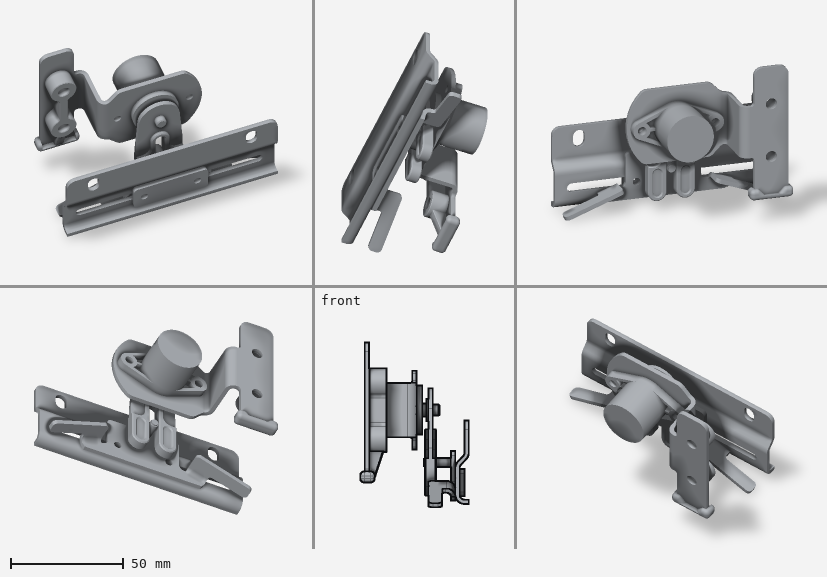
import cadquery as cq
import math


SHEET = 2.0
INNER_BEND = 2.0
OUTER_BEND = INNER_BEND + SHEET
POINT_TOLERANCE = 0.0001
CORNER_RADIUS = 4.0

STRAP_FRONT = 2.0
STRAP_BACK = STRAP_FRONT + SHEET
STRAP_Y = -37.5
STRAP_WIDTH = 16.0
STRAP_HALF_HEIGHT = 30.0
STRAP_HOLE_DIAMETER = 5.2
STRAP_HOLE_Z = 12.5
STRAP_NECK_RADIUS = 1.5
PLATE_FRONT = 23.0
PLATE_BACK = PLATE_FRONT + SHEET
PLATE_RADIUS = 23.0
PLATE_HALF_HEIGHT = 17.5
PLATE_CORNER_RADIUS = 4.0
PLATE_SLOPE_Y = -16.3
JOG_Y = -23.5
JOG_HALF_HEIGHT = 12.1

BUMPER_DIAMETER = 12.2
BUMPER_BACK = 11.9
RUBBER_CHAMFER = 0.3
WEB_HALF_WIDTH = 2.0
WEB_FILLET = 2.0
CAP_DEPTH = 6.5
CAP_WIDTH = 20.1
CAP_TOP_Z = -27.1
CAP_HEIGHT = 5.0
CAP_FILLET = 1.9
CAP_NOTCH_HALF_WIDTH = 3.2
GUSSET_TOP_X = 10.8
GUSSET_TOP_Z = -17.0

MOTOR_DIAMETER = 21.8
MOTOR_FRONT = 2.9
MOTOR_BACK = 27.6
FLANGE_FRONT = 19.1
EAR_Y = 17.1
EAR_RADIUS = 4.1
EAR_BOSS_RADIUS = 3.9
EAR_HOLE_DIAMETER = 4.0
PLATE_HOLE_DIAMETER = 3.5
FLANGE_RIM = 1.6
FLANGE_POCKET_DEPTH = 2.9
FLANGE_RIB = 1.2

SHAFT_DIAMETER = 6.0
SHAFT_END_DIAMETER = 5.0
SHAFT_END_X = 35.2
SHAFT_END_CHAMFER = 0.5
WASHER_DIAMETER = 10.0
WASHER_FRONT = 29.3
LEVER_FRONT = 30.2
LEVER_MIDDLE = LEVER_FRONT + SHEET / 2
LEVER_RADIUS = 9.7
LEVER_SHOULDER_Z = -16.6

FORK_THICKNESS = 5.1
FORK_HALF_WIDTH = 11.0
FORK_GAP = 4.5
FORK_BOTTOM_Z = -38.0
FORK_SHOULDER_Z = -21.3
FORK_SHOULDER_RADIUS = 4.0
FORK_NECK_HALF_WIDTH = 4.5
FORK_TOP_Z = -8.4
FORK_GAP_TOP_Z = FORK_TOP_Z - FORK_NECK_HALF_WIDTH + FORK_GAP / 2
FORK_CHAMFER = 0.5
WINDOW_WIDTH = 5.0
WINDOW_TOP_Z = -22.5
WINDOW_BOTTOM_Z = -36.4
WINDOW_DEPTH = 0.6
WINDOW_SIDE_ANGLE = 45.0

RAIL_LENGTH = 100.0
RAIL_FACE = 42.2
RAIL_BACK = 48.2
RAIL_TOP_Z = -4.5
RAIL_BOTTOM_Z = -41.6
RAIL_JOG_TOP_Z = -19.7
RAIL_JOG_BOTTOM_Z = -23.9
RAIL_SLOT_LENGTH = 88.8
RAIL_SLOT_WIDTH = 4.2
RAIL_SLOT_Z = -32.1
OBLONG_Y = 37.5
OBLONG_Z = -10.7
OBLONG_HEIGHT = 8.0
OBLONG_WIDTH = 5.4

SLIDER_HALF_WIDTH = 17.6
SLIDER_TOP_Z = -18.1
SLIDER_BOTTOM_Z = -40.1
SLIDER_FRONT = RAIL_FACE - SHEET
SLIDER_CORNER_RADIUS = 2.0
SLIDER_ARM_TOP_Z = -34.1
SLIDER_ARM_RADIUS = 2.5
SLIDER_FOOT_HALF_WIDTH = 28.7
SLIDER_HOLE_DIAMETER = 3.5
SLIDER_HOLE_Y = 12.6
BACK_PLATE_THICKNESS = 2.1
BACK_PLATE_HEIGHT = 12.1
PIN_Z = -23.2
PIN_DIAMETER = 4.0
PIN_TIP_DIAMETER = 3.2
PIN_TIP_X = 28.2
PIN_SHOULDER_X = 29.0
FINGER_TILT = 20.0
FINGER_ROOT_Y = 22.0
FINGER_ROOT_Z = -31.3
FINGER_LENGTH = 28.9
FINGER_ROOT_WIDTH = 10.0
FINGER_FRONT = 30.2
FINGER_BACK = 36.3
FINGER_TIP_RADIUS = 2.0
FINGER_NOTCH_RADIUS = 1.5


def outline(plane, corners):
    """Closed outline through corners (x, y) or (x, y, radius), each radius rounding its corner."""
    wire = None
    for i, corner in enumerate(corners):
        point = cq.Vector(*corner[:2])
        before = (cq.Vector(*corners[i - 1][:2]) - point).normalized()
        after = (cq.Vector(*corners[(i + 1) % len(corners)][:2]) - point).normalized()
        radius = corner[2] if len(corner) > 2 else 0
        half_angle = before.getAngle(after) / 2
        tangent = radius / math.tan(half_angle)
        start = point + before * tangent
        end = point + after * tangent
        if wire is None:
            wire = cq.Workplane(plane).moveTo(start.x, start.y)
            last = start
        elif (start - last).Length > POINT_TOLERANCE:
            wire = wire.lineTo(start.x, start.y)
        if radius:
            reach = radius / math.sin(half_angle) - radius
            middle = point + (before + after).normalized() * reach
            wire = wire.threePointArc((middle.x, middle.y), (end.x, end.y))
        last = end
    return wire.close()


def bent_sheet(plane, path):
    """Outline of a sheet whose left face follows path; its other face lies to the right."""
    points = [cq.Vector(*p) for p in path]
    steps = [(b - a).normalized() for a, b in zip(points, points[1:])]
    rights = [cq.Vector(step.y, -step.x) for step in steps]
    first = points[0] + rights[0] * SHEET
    last = points[-1] + rights[-1] * SHEET
    near = [path[0]]
    far = [(first.x, first.y)]
    for i in range(1, len(points) - 1):
        turns_left = steps[i - 1].cross(steps[i]).z > 0
        near_radius = INNER_BEND if turns_left else OUTER_BEND
        far_radius = OUTER_BEND if turns_left else INNER_BEND
        mitre = (rights[i - 1] + rights[i]) * (SHEET / (1 + rights[i - 1].dot(rights[i])))
        corner = points[i] + mitre
        near.append((*path[i], near_radius))
        far.append((corner.x, corner.y, far_radius))
    near.append(path[-1])
    far.append((last.x, last.y))
    return outline(plane, near + far[::-1])


def across(x):
    """Plane facing +X at the given X, with local axes Y and Z."""
    return cq.Plane(origin=(x, 0, 0), xDir=(0, 1, 0), normal=(1, 0, 0))


def rod(diameter, x_start, x_end, y=0.0, z=0.0):
    """Round rod along X."""
    return cq.Workplane(across(x_start)).center(y, z).circle(diameter / 2).extrude(x_end - x_start)


def block(x_range, y_range, z_range):
    """Box between two limits on each axis."""
    sizes = [high - low for low, high in (x_range, y_range, z_range)]
    return cq.Workplane("XY").box(*sizes, centered=False).translate((x_range[0], y_range[0], z_range[0]))


def plate_and_jog():
    """Motor plate with one round end, narrowing at the other into a double bend that leads to the strap."""
    bent = bent_sheet("XY", [
        (STRAP_FRONT, JOG_Y - OUTER_BEND),
        (STRAP_FRONT, JOG_Y),
        (PLATE_FRONT, JOG_Y),
        (PLATE_FRONT, PLATE_RADIUS),
    ]).extrude(PLATE_HALF_HEIGHT, both=True)
    corner_y = math.sqrt(PLATE_RADIUS**2 - PLATE_HALF_HEIGHT**2)
    slope_end_y = PLATE_SLOPE_Y - (PLATE_HALF_HEIGHT - JOG_HALF_HEIGHT)
    neck_y = JOG_Y - OUTER_BEND
    trim = (
        cq.Workplane("YZ")
        .moveTo(corner_y, -PLATE_HALF_HEIGHT)
        .threePointArc((PLATE_RADIUS, 0), (corner_y, PLATE_HALF_HEIGHT))
        .lineTo(PLATE_SLOPE_Y, PLATE_HALF_HEIGHT)
        .lineTo(slope_end_y, JOG_HALF_HEIGHT)
        .lineTo(neck_y, JOG_HALF_HEIGHT)
        .lineTo(neck_y, -JOG_HALF_HEIGHT)
        .lineTo(slope_end_y, -JOG_HALF_HEIGHT)
        .lineTo(PLATE_SLOPE_Y, -PLATE_HALF_HEIGHT)
        .close()
        .extrude(PLATE_BACK)
        .edges("|X")
        .edges("not(<Y)")
        .fillet(PLATE_CORNER_RADIUS)
    )
    return bent.intersect(trim)


def strap():
    """Upright strap with rounded corners, a neck towards the jog and two holes."""
    outer = STRAP_Y - STRAP_WIDTH / 2
    inner = STRAP_Y + STRAP_WIDTH / 2
    neck = JOG_Y - OUTER_BEND
    body = outline(across(STRAP_FRONT), [
        (outer, -STRAP_HALF_HEIGHT, CORNER_RADIUS),
        (inner, -STRAP_HALF_HEIGHT, CORNER_RADIUS),
        (inner, -JOG_HALF_HEIGHT, STRAP_NECK_RADIUS),
        (neck, -JOG_HALF_HEIGHT),
        (neck, JOG_HALF_HEIGHT),
        (inner, JOG_HALF_HEIGHT, STRAP_NECK_RADIUS),
        (inner, STRAP_HALF_HEIGHT, CORNER_RADIUS),
        (outer, STRAP_HALF_HEIGHT, CORNER_RADIUS),
    ]).extrude(SHEET)
    for z in (-STRAP_HOLE_Z, STRAP_HOLE_Z):
        body = body.cut(rod(STRAP_HOLE_DIAMETER, STRAP_FRONT, STRAP_BACK, STRAP_Y, z))
    return body


def bumper():
    """Two bored round pads joined by a narrow web with filleted flanks."""
    pads = block(
        (STRAP_BACK, BUMPER_BACK),
        (STRAP_Y - WEB_HALF_WIDTH, STRAP_Y + WEB_HALF_WIDTH),
        (-STRAP_HOLE_Z, STRAP_HOLE_Z),
    )
    for z in (-STRAP_HOLE_Z, STRAP_HOLE_Z):
        pads = pads.union(rod(BUMPER_DIAMETER, STRAP_BACK, BUMPER_BACK, STRAP_Y, z))
    flank_corners = cq.selectors.BoxSelector(
        (STRAP_BACK, STRAP_Y - BUMPER_DIAMETER, -STRAP_HOLE_Z),
        (BUMPER_BACK, STRAP_Y + BUMPER_DIAMETER, STRAP_HOLE_Z),
    )
    pads = pads.edges("|X").edges(flank_corners).fillet(WEB_FILLET)
    for z in (-STRAP_HOLE_Z, STRAP_HOLE_Z):
        pads = pads.cut(rod(STRAP_HOLE_DIAMETER, STRAP_BACK, BUMPER_BACK, STRAP_Y, z))
    return pads.faces("<X or >X").edges().chamfer(RUBBER_CHAMFER)


def end_cap():
    """Rounded cap over the strap's lower end, open at the front and back above its floor."""
    floor_z = -STRAP_HALF_HEIGHT
    bottom_z = CAP_TOP_Z - CAP_HEIGHT
    notch_top_half_width = CAP_NOTCH_HALF_WIDTH + CAP_TOP_Z - floor_z
    front_notch = outline(across(0), [
        (STRAP_Y - CAP_NOTCH_HALF_WIDTH, floor_z),
        (STRAP_Y + CAP_NOTCH_HALF_WIDTH, floor_z),
        (STRAP_Y + notch_top_half_width, CAP_TOP_Z),
        (STRAP_Y - notch_top_half_width, CAP_TOP_Z),
    ]).extrude(STRAP_FRONT)
    cap = block(
        (0, CAP_DEPTH),
        (STRAP_Y - CAP_WIDTH / 2, STRAP_Y + CAP_WIDTH / 2),
        (bottom_z, CAP_TOP_Z),
    ).cut(front_notch)
    notch_floor = cap.faces(cq.selectors.NearestToPointSelector((STRAP_FRONT / 2, STRAP_Y, floor_z)))
    notch_middle_z = (floor_z + CAP_TOP_Z) / 2
    notch_back = cap.faces(cq.selectors.NearestToPointSelector((STRAP_FRONT, STRAP_Y, notch_middle_z)))
    sharp = notch_floor.edges().vals() + notch_back.edges().vals()
    rounded = [edge for edge in cap.edges().vals() if not any(edge.isSame(other) for other in sharp)]
    cap = cap.newObject(rounded).fillet(CAP_FILLET)
    back_notch = block(
        (STRAP_BACK, CAP_DEPTH),
        (STRAP_Y - STRAP_WIDTH / 2, STRAP_Y + STRAP_WIDTH / 2),
        (floor_z, CAP_TOP_Z),
    )
    return cap.cut(back_notch)


def gusset():
    """Sloped rib from the lower bumper pad down to the end cap."""
    rib = outline("XZ", [
        (STRAP_BACK, GUSSET_TOP_Z),
        (GUSSET_TOP_X, GUSSET_TOP_Z),
        (CAP_DEPTH, -STRAP_HALF_HEIGHT),
        (STRAP_BACK, -STRAP_HALF_HEIGHT),
    ]).extrude(WEB_HALF_WIDTH, both=True)
    sloped_face = rib.faces("(not |Z) and (not |Y) and (not <X)")
    return sloped_face.chamfer(RUBBER_CHAMFER).translate((0, STRAP_Y, 0))


def flange_blank(x, motor_radius, ear_radius, length):
    """Rhombic slab: the motor circle and two ear circles joined by their common tangents."""
    tilt = math.asin((motor_radius - ear_radius) / EAR_Y)
    ear_y = EAR_Y + ear_radius * math.sin(tilt)
    ear_z = ear_radius * math.cos(tilt)
    motor_y = motor_radius * math.sin(tilt)
    motor_z = motor_radius * math.cos(tilt)
    slab = rod(2 * motor_radius, x, x + length)
    for side in (-1, 1):
        wedge = outline(across(x), [
            (side * motor_y, motor_z),
            (side * ear_y, ear_z),
            (side * ear_y, -ear_z),
            (side * motor_y, -motor_z),
        ]).extrude(length)
        slab = slab.union(wedge).union(rod(2 * ear_radius, x, x + length, side * EAR_Y))
    return slab


def flange():
    """Mounting flange with a pocket round each ear, a boss round each hole and a rib to the motor."""
    pocket_floor = FLANGE_FRONT + FLANGE_POCKET_DEPTH
    pocket = flange_blank(
        FLANGE_FRONT, MOTOR_DIAMETER / 2 - FLANGE_RIM, EAR_RADIUS - FLANGE_RIM, FLANGE_POCKET_DEPTH
    )
    ribs = block((FLANGE_FRONT, pocket_floor), (-EAR_Y, EAR_Y), (-FLANGE_RIB / 2, FLANGE_RIB / 2))
    pocket = pocket.cut(ribs)
    for y in (-EAR_Y, EAR_Y):
        pocket = pocket.cut(rod(2 * EAR_BOSS_RADIUS, FLANGE_FRONT, pocket_floor, y))
    blank = flange_blank(FLANGE_FRONT, MOTOR_DIAMETER / 2, EAR_RADIUS, PLATE_FRONT - FLANGE_FRONT)
    return blank.cut(pocket)


def motor_and_shaft():
    """Motor can, stepped shaft and washer."""
    shaft_end = rod(SHAFT_END_DIAMETER, LEVER_FRONT, SHAFT_END_X).faces(">X").chamfer(SHAFT_END_CHAMFER)
    return (
        rod(MOTOR_DIAMETER, MOTOR_FRONT, MOTOR_BACK)
        .union(rod(SHAFT_DIAMETER, MOTOR_BACK, WASHER_FRONT))
        .union(rod(WASHER_DIAMETER, WASHER_FRONT, LEVER_FRONT))
        .union(shaft_end)
    )


def fork_gap(half_width, x, length):
    """Slot between the fork's prongs, round at its top and open at the bottom."""
    return outline(across(x), [
        (-half_width, FORK_BOTTOM_Z),
        (half_width, FORK_BOTTOM_Z),
        (half_width, FORK_GAP_TOP_Z, half_width),
        (-half_width, FORK_GAP_TOP_Z, half_width),
    ]).extrude(length)


def lever():
    """Lever plate: a disc on the shaft that widens down to two prongs."""
    reach = math.hypot(FORK_HALF_WIDTH, LEVER_SHOULDER_Z)
    angle = math.atan2(LEVER_SHOULDER_Z, FORK_HALF_WIDTH) + math.acos(LEVER_RADIUS / reach)
    tangent_y = LEVER_RADIUS * math.cos(angle)
    tangent_z = LEVER_RADIUS * math.sin(angle)
    prong_bottom_z = FORK_BOTTOM_Z + (FORK_HALF_WIDTH - FORK_GAP / 2) / 2
    blade = outline(across(LEVER_FRONT), [
        (tangent_y, tangent_z),
        (FORK_HALF_WIDTH, LEVER_SHOULDER_Z),
        (FORK_HALF_WIDTH, prong_bottom_z),
        (-FORK_HALF_WIDTH, prong_bottom_z),
        (-FORK_HALF_WIDTH, LEVER_SHOULDER_Z),
        (-tangent_y, tangent_z),
    ]).extrude(SHEET)
    disc = rod(2 * LEVER_RADIUS, LEVER_FRONT, LEVER_FRONT + SHEET)
    return disc.union(blade).cut(fork_gap(FORK_GAP / 2, LEVER_FRONT, SHEET))


def fork():
    """Rubber fork with an arched neck, two round-ended prongs and a shallow window in each prong face."""
    front = LEVER_MIDDLE - FORK_THICKNESS / 2
    half_gap = FORK_GAP / 2
    prong_radius = (FORK_HALF_WIDTH - half_gap) / 2
    half = [
        (half_gap, FORK_GAP_TOP_Z, half_gap),
        (half_gap, FORK_BOTTOM_Z, prong_radius),
        (FORK_HALF_WIDTH, FORK_BOTTOM_Z, prong_radius),
        (FORK_HALF_WIDTH, FORK_SHOULDER_Z),
        (FORK_NECK_HALF_WIDTH, FORK_SHOULDER_Z, FORK_SHOULDER_RADIUS),
        (FORK_NECK_HALF_WIDTH, FORK_TOP_Z, FORK_NECK_HALF_WIDTH),
    ]
    mirrored = [(-y, z, *radius) for y, z, *radius in half[::-1]]
    body = outline(across(front), half + mirrored).extrude(FORK_THICKNESS)
    body = body.faces("<X or >X").edges().chamfer(FORK_CHAMFER)
    prong_y = (half_gap + FORK_HALF_WIDTH) / 2
    window_z = (WINDOW_TOP_Z + WINDOW_BOTTOM_Z) / 2
    window = (
        cq.Workplane(across(front))
        .pushPoints([(-prong_y, window_z), (prong_y, window_z)])
        .slot2D(WINDOW_TOP_Z - WINDOW_BOTTOM_Z, WINDOW_WIDTH, 90)
        .extrude(WINDOW_DEPTH, taper=WINDOW_SIDE_ANGLE)
    )
    back_window = window.mirror("YZ", (LEVER_MIDDLE, 0, 0))
    return body.cut(window).cut(back_window)


def make_drive_unit():
    """Bracket, motor, bumper, shaft, lever and fork as one solid."""
    unit = plate_and_jog()
    bracket_parts = [strap(), bumper(), end_cap(), gusset()]
    motor_parts = [flange(), motor_and_shaft(), lever(), fork()]
    for part in bracket_parts + motor_parts:
        unit = unit.union(part)
    for y in (-EAR_Y, EAR_Y):
        unit = unit.cut(rod(EAR_HOLE_DIAMETER, FLANGE_FRONT, PLATE_FRONT, y))
        unit = unit.cut(rod(PLATE_HOLE_DIAMETER, PLATE_FRONT, PLATE_BACK, y))
    return unit


def rail():
    """Z-shaped rail with a foot, a long slot and two oblong mounting holes."""
    upper_face = RAIL_BACK - SHEET
    profile = bent_sheet("XZ", [
        (RAIL_BACK, RAIL_BOTTOM_Z),
        (RAIL_FACE, RAIL_BOTTOM_Z),
        (RAIL_FACE, RAIL_JOG_BOTTOM_Z),
        (upper_face, RAIL_JOG_TOP_Z),
        (upper_face, RAIL_TOP_Z),
    ])
    body = profile.extrude(RAIL_LENGTH / 2, both=True)
    body = body.edges("|X").edges(">Z").fillet(CORNER_RADIUS)
    slot = (
        cq.Workplane(across(RAIL_FACE))
        .center(0, RAIL_SLOT_Z)
        .slot2D(RAIL_SLOT_LENGTH, RAIL_SLOT_WIDTH)
        .extrude(SHEET)
    )
    oblongs = (
        cq.Workplane(across(upper_face))
        .pushPoints([(-OBLONG_Y, OBLONG_Z), (OBLONG_Y, OBLONG_Z)])
        .slot2D(OBLONG_HEIGHT, OBLONG_WIDTH, 90)
        .extrude(SHEET)
    )
    return body.cut(slot).cut(oblongs)


def finger():
    """Tilted finger on the +Y side with the bend that joins it to the finger plate."""
    tilt = math.radians(FINGER_TILT)
    root = (0, FINGER_ROOT_Y, FINGER_ROOT_Z)
    outward = (0, math.cos(tilt), -math.sin(tilt))
    upward = (0, math.sin(tilt), math.cos(tilt))
    bend_start = RAIL_FACE - OUTER_BEND
    blade = outline(cq.Plane(root, outward, upward), [
        (0, -bend_start),
        (0, -FINGER_FRONT, FINGER_TIP_RADIUS),
        (FINGER_LENGTH, -FINGER_FRONT, FINGER_TIP_RADIUS),
        (FINGER_LENGTH, -FINGER_BACK, FINGER_TIP_RADIUS),
        (FINGER_ROOT_WIDTH, -FINGER_BACK, FINGER_NOTCH_RADIUS),
        (FINGER_ROOT_WIDTH, -bend_start),
    ]).extrude(-SHEET)
    bend = bent_sheet(cq.Plane(root, (1, 0, 0), outward), [
        (RAIL_FACE, OUTER_BEND),
        (RAIL_FACE, 0),
        (bend_start, 0),
    ]).extrude(FINGER_ROOT_WIDTH)
    return blade.union(bend)


def finger_plate():
    """Plate sliding on the rail's front face, with a bent finger at each side."""
    tilt = math.radians(FINGER_TILT)
    bend_y = FINGER_ROOT_Y - OUTER_BEND * math.sin(tilt)
    bend_z = FINGER_ROOT_Z - OUTER_BEND * math.cos(tilt)
    arm_y = bend_y + (SLIDER_ARM_TOP_Z - bend_z) * math.tan(tilt)
    half = [
        (SLIDER_HALF_WIDTH, SLIDER_TOP_Z, SLIDER_CORNER_RADIUS),
        (SLIDER_HALF_WIDTH, SLIDER_ARM_TOP_Z, SLIDER_ARM_RADIUS),
        (arm_y, SLIDER_ARM_TOP_Z),
        (bend_y, bend_z),
        (bend_y + FINGER_ROOT_WIDTH * math.cos(tilt), bend_z - FINGER_ROOT_WIDTH * math.sin(tilt)),
        (SLIDER_FOOT_HALF_WIDTH, SLIDER_BOTTOM_Z),
    ]
    mirrored = [(-y, z, *radius) for y, z, *radius in half[::-1]]
    plate = outline(across(SLIDER_FRONT), half + mirrored).extrude(SHEET)
    right_finger = finger()
    return plate.union(right_finger).union(right_finger.mirror("XZ"))


def back_plate():
    """Rounded plate holding the slider behind the rail slot."""
    start = RAIL_FACE + SHEET
    return (
        cq.Workplane(across(start))
        .center(0, RAIL_SLOT_Z)
        .rect(2 * SLIDER_HALF_WIDTH, BACK_PLATE_HEIGHT)
        .extrude(BACK_PLATE_THICKNESS)
        .edges("|X")
        .fillet(SLIDER_CORNER_RADIUS)
    )


def pin():
    """Stepped pin that reaches into the fork's gap."""
    shank = rod(PIN_DIAMETER, PIN_SHOULDER_X, SLIDER_FRONT, z=PIN_Z)
    return shank.union(rod(PIN_TIP_DIAMETER, PIN_TIP_X, PIN_SHOULDER_X, z=PIN_Z))


def make_rail_unit():
    """Rail with the finger slider and its pin as one solid."""
    unit = rail().union(finger_plate()).union(back_plate()).union(pin())
    hole_end = RAIL_FACE + SHEET + BACK_PLATE_THICKNESS
    for y in (-SLIDER_HOLE_Y, SLIDER_HOLE_Y):
        unit = unit.cut(rod(SLIDER_HOLE_DIAMETER, SLIDER_FRONT, hole_end, y, RAIL_SLOT_Z))
    return unit


drive_unit = make_drive_unit()
rail_unit = make_rail_unit()
result = cq.Compound.makeCompound([drive_unit.val(), rail_unit.val()])